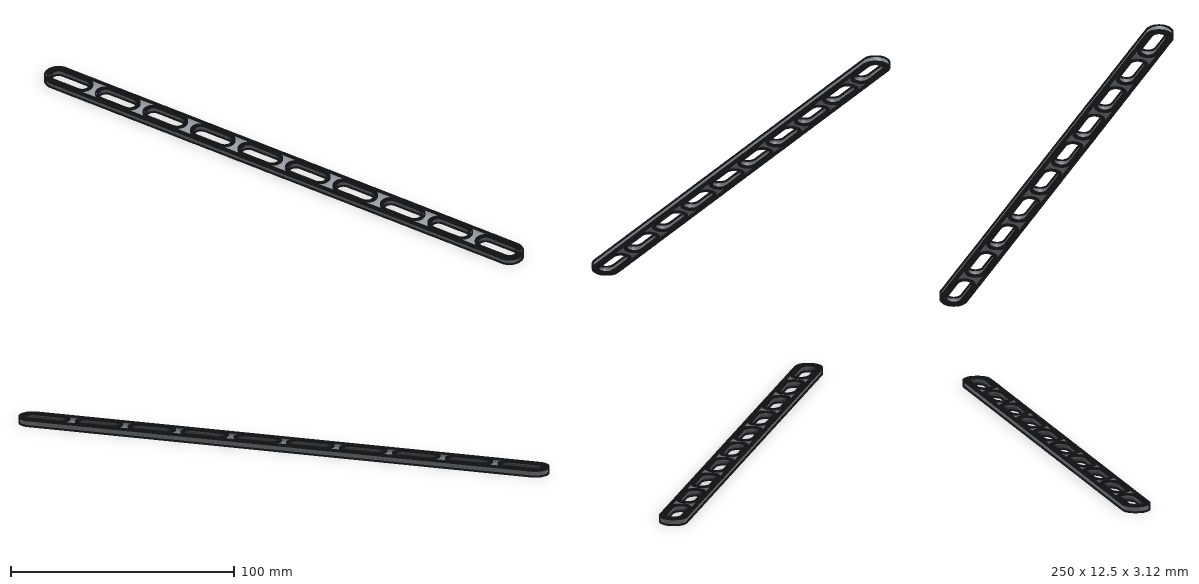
import cadquery as cq

slot_count = 10
slot_pitch = 25.0
bar_width = 12.5
bar_thickness = 3.125
rim_width = 2.75
ridge_width = 1.1
recess_depth = 0.2
edge_chamfer = 0.3

bar_length = slot_count * slot_pitch
slot_length = slot_pitch - 2 * rim_width
slot_width = bar_width - 2 * rim_width
recess_floor = bar_thickness / 2 - recess_depth


def make_bar():
    """Round-ended flat bar centred on the origin."""
    return cq.Workplane("XY").slot2D(bar_length, bar_width).extrude(bar_thickness / 2, both=True)


def slot_row(margin, height):
    """Row of slot-shaped solids standing on z = 0, each wider than its slot by margin all round."""
    return (
        cq.Workplane("XY")
        .rarray(slot_pitch, 1, slot_count, 1)
        .slot2D(slot_length + 2 * margin, slot_width + 2 * margin)
        .extrude(height)
    )


def cut_slots(bar):
    """Cut the row of through slots along the bar's centre line."""
    return bar.cut(slot_row(0, bar_thickness).translate((0, 0, -bar_thickness / 2)))


def chamfer_rims(bar):
    """Break the outer outline and every slot mouth on both flat faces."""
    return bar.faces("|Z").edges().chamfer(edge_chamfer)


def recess_faces(bar):
    """Sink the field between the outline ridge and the slot collars on the top and bottom faces."""
    inside_ridge = (
        cq.Workplane("XY")
        .slot2D(bar_length - 2 * ridge_width, bar_width - 2 * ridge_width)
        .extrude(recess_depth)
    )
    field = inside_ridge.cut(slot_row(ridge_width, recess_depth))
    top_field = field.translate((0, 0, recess_floor))
    return bar.cut(top_field).cut(top_field.mirror("XY"))


result = recess_faces(chamfer_rims(cut_slots(make_bar())))